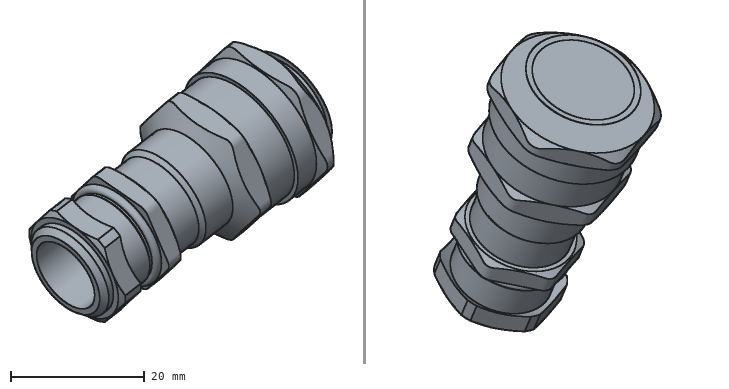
import cadquery as cq
import math

TOTAL_LENGTH = 48.9

BORE_DIA = 12.0
FRONT_DIA = 14.1
NECK_DIA = 16.0
COLLAR_DIA = 17.5
SLEEVE_DIA = 22.0
BAND_DIA = 23.5

FRONT_CHAMFER_END = 1.0
CAP_FRONT, CAP_BACK = 2.0, 5.95
CAP_DISH_END = 4.6
NECK_STEP = 10.02
SEAL_FRONT = 10.5
LOCK_FRONT, LOCK_BACK = 11.95, 15.1
COLLAR_FRONT = 20.75
SHOULDER_FRONT, SHOULDER_BACK = 27.4, 32.45
BAND_FRONT = 38.5
REAR_FRONT, REAR_BACK = 42.55, 45.85
BORE_DEPTH = REAR_FRONT
DISC_FRONT = 47.9

SMALL_FLATS = 18.0
REAR_FLATS = 24.0
CAP_TURNED_DIA = 19.9
LOCK_ROUND = 1.9
SHOULDER_ROUND = 1.95
REAR_ROUND = 2.95

STANDARD_SLOPE = math.tan(math.radians(30))
SHALLOW_SLOPE = 0.4
STEEP_SLOPE = 0.9
ENVELOPE_RATIO = 0.6

SEAL_DIA = 17.95
SEAL_SECTION_DIA = LOCK_FRONT - SEAL_FRONT
GROOVE_DIA = 15.5
GROOVE_FRONT = NECK_STEP + (NECK_DIA - GROOVE_DIA) / 2

RIM_DIA = 18.0
RIM_THICKNESS = 0.05
STEM_DIA = 1.0


def turned(profile):
    """Revolve a closed (radius, y) profile about the Y axis."""
    return cq.Workplane("XY").polyline(profile).close().revolve(360, (0, 0, 0), (0, 1, 0))


def cylinder(diameter, start, end):
    radius = diameter / 2
    return turned([(0, start), (radius, start), (radius, end), (0, end)])


def hexagon(flats, start, end, corner_round=0):
    """Hexagonal prism with corners on the X axis and optionally rounded edges."""
    corner_dia = flats / math.cos(math.radians(30))
    prism = cq.Workplane("XZ", origin=(0, start, 0)).polygon(6, corner_dia).extrude(start - end)
    if corner_round:
        prism = prism.edges("|Y").fillet(corner_round)
    return prism


def chamfered_nut(flats, start, end, corner_round, front, back):
    """Hexagon with turned ends; front and back are (diameter of end face, slope)."""
    outer = flats * ENVELOPE_RATIO
    front_radius = front[0] / 2
    back_radius = back[0] / 2
    envelope = turned([
        (0, start),
        (front_radius, start),
        (outer, start + (outer - front_radius) * front[1]),
        (outer, end - (outer - back_radius) * back[1]),
        (back_radius, end),
        (0, end),
    ])
    return hexagon(flats, start, end, corner_round).intersect(envelope)


def body():
    """Stepped round core from the front end to the rear nut."""
    front, neck, groove = FRONT_DIA / 2, NECK_DIA / 2, GROOVE_DIA / 2
    collar, sleeve, band = COLLAR_DIA / 2, SLEEVE_DIA / 2, BAND_DIA / 2
    return turned([
        (0, 0),
        (front, 0),
        (neck, FRONT_CHAMFER_END),
        (neck, NECK_STEP),
        (groove, GROOVE_FRONT),
        (groove, LOCK_FRONT),
        (neck, LOCK_FRONT),
        (neck, COLLAR_FRONT),
        (collar, COLLAR_FRONT + collar - neck),
        (collar, SHOULDER_BACK),
        (sleeve, SHOULDER_BACK),
        (sleeve, BAND_FRONT),
        (band, BAND_FRONT),
        (band, REAR_FRONT),
        (0, REAR_FRONT),
    ])


def cap_nut():
    """Front nut: corners turned to a cylinder, chamfered front, dished back."""
    neck, flat, corner = NECK_DIA / 2, SMALL_FLATS / 2, CAP_TURNED_DIA / 2
    envelope = turned([
        (0, CAP_FRONT),
        (flat, CAP_FRONT),
        (corner, CAP_FRONT + (corner - flat) * STANDARD_SLOPE),
        (corner, CAP_BACK),
        (neck, CAP_DISH_END),
        (0, CAP_DISH_END),
    ])
    return hexagon(SMALL_FLATS, CAP_FRONT, CAP_BACK).intersect(envelope)


def seal_ring():
    """Round-section ring seated against the lock nut."""
    center_radius = (SEAL_DIA - SEAL_SECTION_DIA) / 2
    center_y = (SEAL_FRONT + LOCK_FRONT) / 2
    section = cq.Workplane("XY").center(center_radius, center_y).circle(SEAL_SECTION_DIA / 2)
    return section.revolve(360, (-center_radius, 0, 0), (-center_radius, 1, 0))


def end_disc():
    """Thin rimmed disc behind the rear nut, carried on a slender axial stem."""
    disc = cylinder(NECK_DIA, DISC_FRONT, TOTAL_LENGTH)
    rim = cylinder(RIM_DIA, TOTAL_LENGTH - RIM_THICKNESS, TOTAL_LENGTH)
    stem = cylinder(STEM_DIA, REAR_BACK, DISC_FRONT)
    return disc.union(rim).union(stem)


lock_nut = chamfered_nut(
    SMALL_FLATS, LOCK_FRONT, LOCK_BACK, LOCK_ROUND,
    front=(SMALL_FLATS, 0), back=(COLLAR_DIA, SHALLOW_SLOPE),
)
shoulder_nut = chamfered_nut(
    SLEEVE_DIA, SHOULDER_FRONT, SHOULDER_BACK, SHOULDER_ROUND,
    front=(COLLAR_DIA, STANDARD_SLOPE), back=(SLEEVE_DIA, SHALLOW_SLOPE),
)
rear_nut = chamfered_nut(
    REAR_FLATS, REAR_FRONT, REAR_BACK, REAR_ROUND,
    front=(BAND_DIA, SHALLOW_SLOPE), back=(REAR_FLATS, STEEP_SLOPE),
)

result = body()
for feature in (cap_nut(), seal_ring(), lock_nut, shoulder_nut, rear_nut, end_disc()):
    result = result.union(feature)
result = result.cut(cylinder(BORE_DIA, 0, BORE_DEPTH))